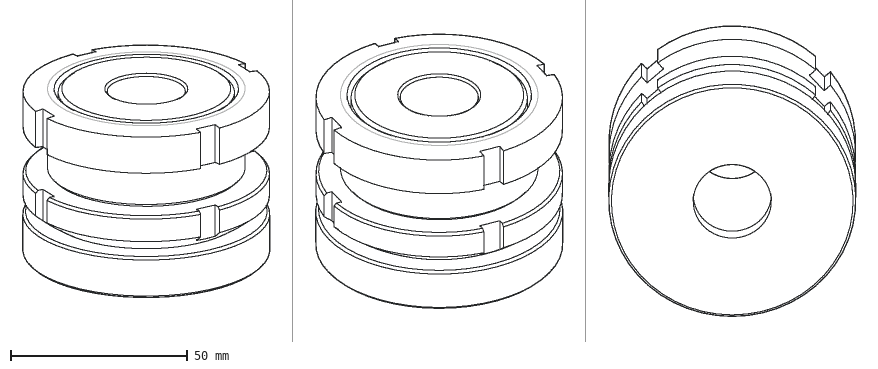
import cadquery as cq
import math

total_height = 50.0
bore_radius = 11.05
bore_chamfer = 0.7

base_radius = 35.0
base_height = 12.5
edge_chamfer = 0.8

ring_radius = 34.9
ring_bottom = 17.35
ring_top = 25.0
seat_sphere_radius = 53.9
seat_center = ring_bottom + math.sqrt(seat_sphere_radius**2 - ring_radius**2)

post_radius = 25.0
post_chamfer = 1.05

neck_radius = 28.0
neck_chamfer = 0.9
flange_radius = ring_radius
flange_bottom = 37.5
flange_taper = 0.7
nut_bore_radius = 26.1

slot_count = 4
slot_width = 6.2
slot_depth = 2.5


def cylinder(radius, bottom, top):
    return cq.Workplane("XY").workplane(offset=bottom).circle(radius).extrude(top - bottom)


def seat_sphere():
    return cq.Workplane("XY").sphere(seat_sphere_radius).translate((0, 0, seat_center))


def cut_spanner_slots(body, bottom, top):
    """Cut equally spaced axial slots into the rim between two heights."""
    floor_radius = ring_radius - slot_depth
    for index in range(slot_count):
        slot = (
            cq.Workplane("XY")
            .box(2 * slot_depth, slot_width, top - bottom, centered=(False, True, False))
            .translate((floor_radius, 0, bottom))
            .rotate((0, 0, 0), (0, 0, 1), index * 360 / slot_count)
        )
        body = body.cut(slot)
    return body


def make_base():
    """Bottom disc with a concave spherical seat and a central bore."""
    disc = cylinder(base_radius, 0, base_height).edges().chamfer(edge_chamfer)
    return disc.cut(seat_sphere()).cut(cylinder(bore_radius, 0, base_height))


def make_stud():
    """Slotted ring with a convex spherical underside and a plain post."""
    ring = cylinder(ring_radius, 0, ring_top).faces(">Z").edges().chamfer(edge_chamfer)
    ring = cut_spanner_slots(ring.intersect(seat_sphere()), 0, ring_top)
    post = cylinder(post_radius, ring_bottom, total_height).faces(">Z").edges().chamfer(post_chamfer)
    stud = ring.union(post).cut(cylinder(bore_radius, 0, total_height))
    return stud.faces(">Z").edges("%CIRCLE").edges(cq.selectors.RadiusNthSelector(0)).chamfer(bore_chamfer)


def make_nut():
    """Neck and slotted flange with tapered faces, bored to clear the post and resting on the ring."""
    profile = [
        (nut_bore_radius, ring_top),
        (neck_radius - neck_chamfer, ring_top),
        (neck_radius, ring_top + neck_chamfer),
        (neck_radius, flange_bottom),
        (flange_radius, flange_bottom + flange_taper),
        (flange_radius, total_height - flange_taper),
        (neck_radius, total_height),
        (nut_bore_radius, total_height),
    ]
    nut = cq.Workplane("XZ").polyline(profile).close().revolve(360, (0, 0), (0, 1))
    return cut_spanner_slots(nut, flange_bottom, total_height)


base = make_base()
stud = make_stud()
nut = make_nut()

result = cq.Compound.makeCompound([base.val(), stud.val(), nut.val()])